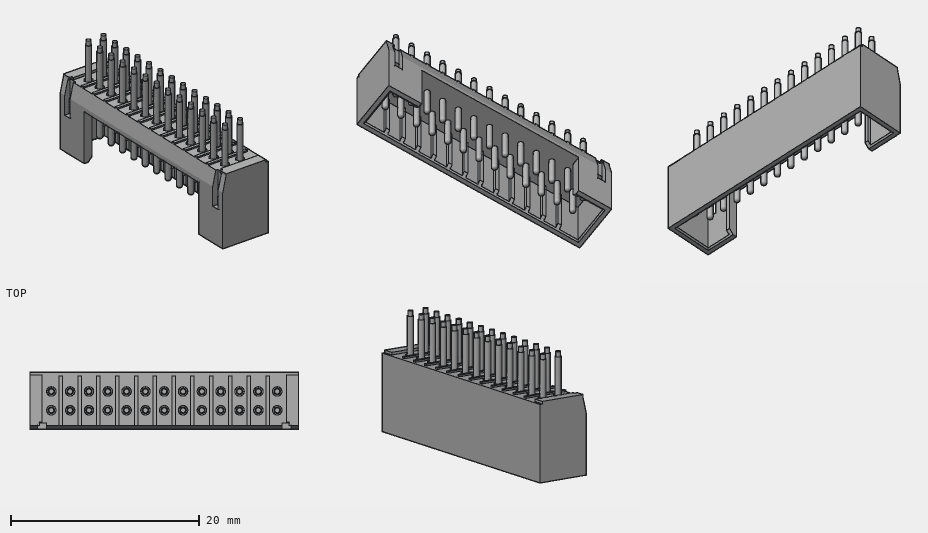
import cadquery as cq

length = 28.6
depth = 6.1
body_top = 8.6
wall = 0.7
cavity_roof = 6.23
lead_in = 0.17
front_y = -depth / 2
back_y = depth / 2
top_front_y = front_y + 0.43
bevel_bottom = 6.75

window_width = 20.13

columns = 13
rows = 2
pitch = 2.0
pin_diameter = 0.7
pin_bottom = 2.4
shoulder = 12.85
pin_top = 13.4
tip_diameter = 0.55
recess_diameter = 1.0
recess_depth = 0.3

top_rib_width = 0.37
top_rib_height = 0.17
top_rib_back_gap = 0.43
inner_rib_width = 0.45
inner_rib_depth = 0.37

pad_width = 1.32
pad_top = 8.9
pad_back_gap = 0.31
pad_notch_from_end = 1.03
pad_notch_depth = 0.35

slot_from_end = 0.8
slot_width = 0.97
slot_bottom = 4.4

column_xs = [(i - (columns - 1) / 2) * pitch for i in range(columns)]
row_ys = [(i - (rows - 1) / 2) * pitch for i in range(rows)]
rib_xs = [x + pitch / 2 for x in column_xs[:-1]]
pin_points = [(x, y) for x in column_xs for y in row_ys]


def block(x_range, y_range, z_range):
    """Box spanning the given coordinate ranges."""
    lows, highs = zip(x_range, y_range, z_range)
    sizes = [high - low for low, high in zip(lows, highs)]
    return cq.Workplane("XY").box(*sizes, centered=False).translate(lows)


def centred(middle, width):
    return (middle - width / 2, middle + width / 2)


def along_x(points, x_range):
    """Prism along X with a profile given as (y, z) points."""
    x_start, x_end = x_range
    profile = cq.Workplane("YZ", origin=(x_start, 0, 0)).polyline(points).close()
    return profile.extrude(x_end - x_start)


def housing():
    outline = [
        (front_y, 0),
        (back_y, 0),
        (back_y, body_top),
        (top_front_y, body_top),
        (front_y, bevel_bottom),
    ]
    body = along_x(outline, centred(0, length))
    inner_length = length - 2 * wall
    inner_depth = depth - 2 * wall
    cavity = block(centred(0, inner_length), centred(0, inner_depth), (0, cavity_roof))
    mouth = (
        cq.Workplane("XY")
        .rect(inner_length + 2 * lead_in, inner_depth + 2 * lead_in)
        .workplane(offset=lead_in)
        .rect(inner_length, inner_depth)
        .loft()
    )
    return body.cut(cavity).cut(mouth)


def inner_rib(x):
    """Rib inside the back wall whose lower end continues the 45 degree lead-in."""
    wall_y = back_y - wall
    rib_y = wall_y - inner_rib_depth
    profile = [
        (back_y - wall / 2, cavity_roof),
        (rib_y, cavity_roof),
        (rib_y, lead_in + inner_rib_depth),
        (wall_y, lead_in),
        (back_y - wall / 2, lead_in),
    ]
    return along_x(profile, centred(x, inner_rib_width))


def top_rib(x):
    y_range = (top_front_y, back_y - top_rib_back_gap)
    return block(centred(x, top_rib_width), y_range, (body_top, body_top + top_rib_height))


def left_pad():
    pad_front = top_front_y
    end_x = -length / 2
    z_range = (body_top, pad_top)
    pad = block((end_x, end_x + pad_width), (pad_front, back_y - pad_back_gap), z_range)
    notch_x = (end_x + pad_notch_from_end, end_x + pad_width)
    return pad.cut(block(notch_x, (pad_front, pad_front + pad_notch_depth), z_range))


def left_slot():
    start = -length / 2 + slot_from_end
    return block((start, start + slot_width), (front_y, front_y + wall), (slot_bottom, body_top))


def pin():
    """Pin on the Z axis with a domed lower end and a narrower upper tip."""
    radius = pin_diameter / 2
    dome_centre = pin_bottom + radius
    shank = cq.Workplane("XY", origin=(0, 0, dome_centre)).circle(radius).extrude(shoulder - dome_centre)
    dome = cq.Workplane("XY", origin=(0, 0, dome_centre)).sphere(radius)
    tip = cq.Workplane("XY", origin=(0, 0, shoulder)).circle(tip_diameter / 2).extrude(pin_top - shoulder)
    return shank.union(dome).union(tip)


result = housing()

window = block(centred(0, window_width), (front_y, front_y + wall), (0, cavity_roof))
result = result.cut(window)

slot = left_slot()
result = result.cut(slot).cut(slot.mirror("YZ"))

recesses = (
    cq.Workplane("XY", origin=(0, 0, body_top))
    .pushPoints(pin_points)
    .circle(recess_diameter / 2)
    .extrude(-recess_depth)
)
result = result.cut(recesses)

pad = left_pad()
result = result.union(pad).union(pad.mirror("YZ"))

side_rib = inner_rib((window_width + inner_rib_width) / 2).mirror("XZ")
result = result.union(side_rib).union(side_rib.mirror("YZ"))

for rib_x in rib_xs:
    result = result.union(inner_rib(rib_x)).union(top_rib(rib_x))

single_pin = pin()
for pin_x, pin_y in pin_points:
    result = result.union(single_pin.translate((pin_x, pin_y, 0)))